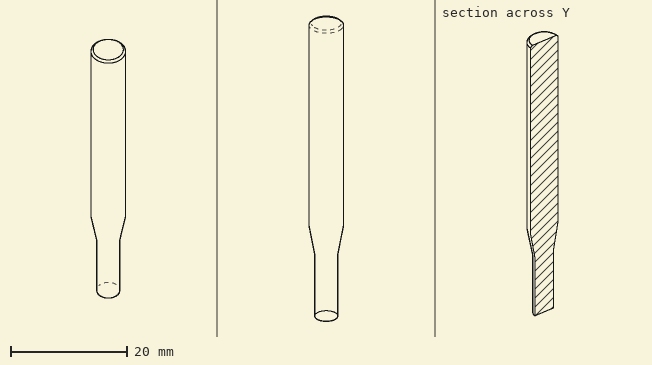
import cadquery as cq
import math

total_length = 57.0
shank_diameter = 6.0
neck_diameter = 4.0
neck_length = 11.95
taper_half_angle = 10.0
top_chamfer = 0.4

shank_radius = shank_diameter / 2
neck_radius = neck_diameter / 2
taper_length = (shank_radius - neck_radius) / math.tan(math.radians(taper_half_angle))

bottom_z = -total_length / 2
top_z = total_length / 2
taper_start_z = bottom_z + neck_length
taper_end_z = taper_start_z + taper_length

half_profile = (
    cq.Workplane("XZ")
    .moveTo(0, bottom_z)
    .lineTo(neck_radius, bottom_z)
    .lineTo(neck_radius, taper_start_z)
    .lineTo(shank_radius, taper_end_z)
    .lineTo(shank_radius, top_z - top_chamfer)
    .lineTo(shank_radius - top_chamfer, top_z)
    .lineTo(0, top_z)
    .close()
)

result = half_profile.revolve(360, (0, 0, 0), (0, 1, 0))